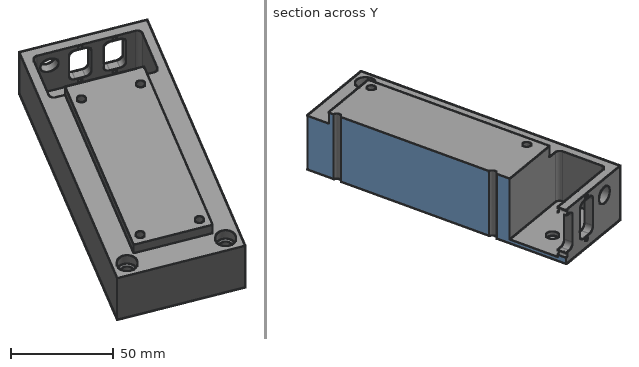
import cadquery as cq

length = 152.4
width = 66.0
base_height = 31.7
total_height = 38.1

wall = 5.0
pocket_end = 33.0
pocket_floor = 2.6
pocket_corner_radius = 2.6
drain_x = 17.8
drain_diameter = 6.5

plate_end = 139.8
plate_width = 40.7
plate_hole_diameter = 4.4
plate_hole_first_x = 43.1
plate_hole_spacing_x = 91.5
plate_hole_spacing_y = 30.5

mount_x = 144.8
mount_spacing = 50.7
mount_diameter = 6.5
counterbore_diameter = 10.2
counterbore_depth = 6.4

connector_ys = (14.6, -3.2)
connector_z = 17.5
connector_width = 11.5
connector_height = 21.6
connector_corner_radius = 3.0
screw_diameter = 2.3
screw_spacing = 25.0
cable_hole_y = -19.0
cable_hole_z = 22.1
cable_hole_diameter = 9.5


def box_between(x_start, x_end, y_size, z_start, z_end):
    """Box between two X stations and two levels, centred on Y."""
    return (
        cq.Workplane("XY", origin=((x_start + x_end) / 2, 0, z_start))
        .rect(x_end - x_start, y_size)
        .extrude(z_end - z_start)
    )


def vertical_hole(x, y, diameter, z_start=0.0):
    """Round cutter from a level up to the top of the part."""
    return (
        cq.Workplane("XY", origin=(x, y, z_start))
        .circle(diameter / 2)
        .extrude(total_height - z_start)
    )


def wall_hole(y, z, diameter):
    """Round cutter through the end wall into the pocket."""
    return cq.Workplane("YZ", origin=(0, y, z)).circle(diameter / 2).extrude(wall)


def connector_cutout(y):
    """Rounded rectangular opening with a screw hole above and below."""
    cutout = (
        cq.Workplane("YZ", origin=(0, y, connector_z))
        .rect(connector_width, connector_height)
        .extrude(wall)
        .edges("|X")
        .fillet(connector_corner_radius)
    )
    for side in (-1, 1):
        screw_z = connector_z + side * screw_spacing / 2
        cutout = cutout.union(wall_hole(y, screw_z, screw_diameter))
    return cutout


result = box_between(0, length, width, 0, base_height)
result = result.union(box_between(pocket_end, plate_end, plate_width, 0, total_height))

pocket = box_between(wall, pocket_end, width - 2 * wall, pocket_floor, total_height)
result = result.cut(pocket.edges("|Z").fillet(pocket_corner_radius))
result = result.cut(vertical_hole(drain_x, 0, drain_diameter))

for x in (plate_hole_first_x, plate_hole_first_x + plate_hole_spacing_x):
    for side in (-1, 1):
        result = result.cut(vertical_hole(x, side * plate_hole_spacing_y / 2, plate_hole_diameter))

for side in (-1, 1):
    y = side * mount_spacing / 2
    result = result.cut(vertical_hole(mount_x, y, mount_diameter))
    result = result.cut(
        vertical_hole(mount_x, y, counterbore_diameter, base_height - counterbore_depth)
    )

for y in connector_ys:
    result = result.cut(connector_cutout(y))
result = result.cut(wall_hole(cable_hole_y, cable_hole_z, cable_hole_diameter))